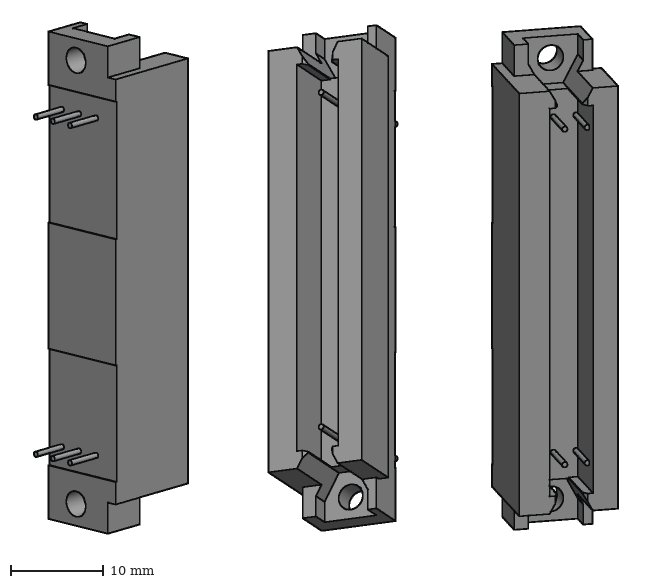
import cadquery as cq

LENGTH = 55.0
WIDTH = 11.1
DEPTH = 15.6

BODY_INSET = 3.5
FLANGE_LEFT = 1.15
FLANGE_EAR_RIGHT = 9.95
FLANGE_BACK = 4.0
FLANGE_FRONT = 9.15
LEFT_WALL_BACK = 8.5

SLOT_LEFT = 3.85
SLOT_RIGHT = 6.65
EAR_SLOT_LEFT = 2.2
EAR_SLOT_RIGHT = 8.35
EAR_SLOT_FLOOR = 6.8
FLARE_START = 5.4
FLARE_END = 2.3
GUIDE_END = 5.5
SLOT_RELIEF = 1.05
MOUTH_CHAMFER_WIDTH = 0.45
MOUTH_CHAMFER_DEPTH = 0.65

HOLE_DIAMETER = 2.85
HOLE_X = (SLOT_LEFT + SLOT_RIGHT) / 2
HOLE_INSET = 2.5

RECESS_DEPTH = 0.15
RECESS_INSET = 6.05
PAD_BOTTOM = 19.2
PAD_TOP = 33.45

PIN_DIAMETER = 0.6
PIN_X = 5.55
PIN_PITCH = 2.55
PIN_INSET = 8.45
PIN_TIP = 13.95


def box(x0, x1, y0, y1, z0, z1):
    """Box between the given limits."""
    return cq.Workplane("XY").box(x1 - x0, y1 - y0, z1 - z0, centered=False).translate((x0, y0, z0))


def cylinder(diameter, x, z, y0, y1):
    """Cylinder along Y."""
    solid = cq.Solid.makeCylinder(diameter / 2, y1 - y0, cq.Vector(x, y0, z), cq.Vector(0, 1, 0))
    return cq.Workplane(obj=solid)


def housing():
    """Body with an overhanging left wall, and a flange forming an ear at each end."""
    body_top = LENGTH - BODY_INSET
    ears = box(FLANGE_LEFT, FLANGE_EAR_RIGHT, FLANGE_BACK, FLANGE_FRONT, 0, LENGTH)
    body = box(FLANGE_LEFT, WIDTH, FLANGE_BACK, DEPTH, BODY_INSET, body_top)
    left_wall = box(0, FLANGE_LEFT, LEFT_WALL_BACK, DEPTH, BODY_INSET, body_top)
    return ears.union(body).union(left_wall)


def card_slot():
    """Through slot with a chamfered mouth along the front."""
    return (
        cq.Workplane("XY")
        .moveTo(SLOT_LEFT, FLANGE_FRONT)
        .lineTo(SLOT_RIGHT, FLANGE_FRONT)
        .lineTo(SLOT_RIGHT, DEPTH - MOUTH_CHAMFER_DEPTH)
        .lineTo(SLOT_RIGHT + MOUTH_CHAMFER_WIDTH, DEPTH)
        .lineTo(SLOT_LEFT - MOUTH_CHAMFER_WIDTH, DEPTH)
        .lineTo(SLOT_LEFT, DEPTH - MOUTH_CHAMFER_DEPTH)
        .close()
        .extrude(LENGTH)
    )


def lower_flare():
    """Deeper pocket through the lower ear, tapering in to the slot width."""
    return (
        cq.Workplane("XZ", origin=(0, EAR_SLOT_FLOOR, 0))
        .moveTo(EAR_SLOT_LEFT, 0)
        .lineTo(EAR_SLOT_RIGHT, 0)
        .lineTo(EAR_SLOT_RIGHT, FLARE_END)
        .lineTo(SLOT_RIGHT, FLARE_START)
        .lineTo(SLOT_LEFT, FLARE_START)
        .lineTo(EAR_SLOT_LEFT, FLARE_END)
        .close()
        .extrude(EAR_SLOT_FLOOR - DEPTH)
    )


def slot_relief():
    """Wider middle stretch of the slot, leaving a narrow guide at each end."""
    return box(
        SLOT_LEFT - SLOT_RELIEF, SLOT_RIGHT + SLOT_RELIEF, FLANGE_FRONT, DEPTH, GUIDE_END, LENGTH - GUIDE_END
    )


def back_recess(z0, z1):
    """Shallow full-width step in the back face."""
    return box(0, WIDTH, FLANGE_BACK, FLANGE_BACK + RECESS_DEPTH, z0, z1)


flare = lower_flare()
result = housing().cut(card_slot()).cut(slot_relief()).cut(flare)
result = result.cut(flare.mirror("XY", (0, 0, LENGTH / 2)))
result = result.cut(back_recess(RECESS_INSET, PAD_BOTTOM))
result = result.cut(back_recess(PAD_TOP, LENGTH - RECESS_INSET))

for hole_z in (HOLE_INSET, LENGTH - HOLE_INSET):
    result = result.cut(cylinder(HOLE_DIAMETER, HOLE_X, hole_z, 0, DEPTH))

for pin_z in (PIN_INSET, LENGTH - PIN_INSET):
    for column in (-1, 0, 1):
        pin_x = PIN_X + column * PIN_PITCH
        result = result.union(cylinder(PIN_DIAMETER, pin_x, pin_z, 0, PIN_TIP))